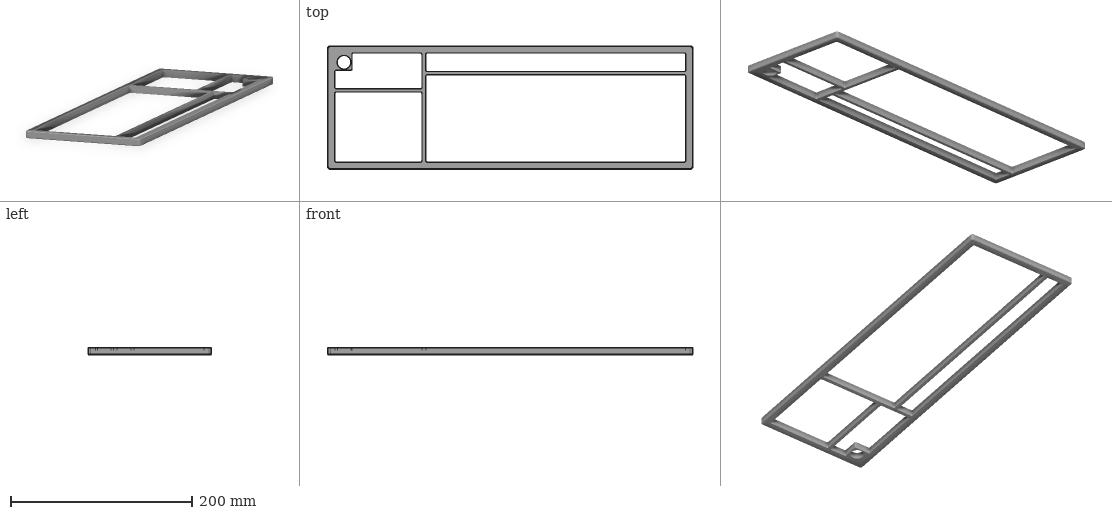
import cadquery as cq

length = 402.8
width = 136.0
thickness = 8.0
border = 8.0
corner_radius = 3.02
edge_chamfer = 0.72

divider_width = 4.5
divider_left = 104.0
cross_rib_width = 3.83
right_rib_top = 28.0
left_rib_top = 47.0
window_radius = 1.4

pad_size = 27.0
hole_diameter = 15.0
hole_inset = 18.0

left = -length / 2
right = length / 2
front = -width / 2
back = width / 2


def window(x_min, x_max, y_min, y_max):
    """Square-cornered cutter through the full thickness."""
    size_x = x_max - x_min
    size_y = y_max - y_min
    cutter = cq.Workplane("XY").box(size_x, size_y, thickness)
    return cutter.translate(((x_min + x_max) / 2, (y_min + y_max) / 2, 0))


def make_frame():
    """Plate with rounded corners and chamfered outer edges."""
    plate = cq.Workplane("XY").box(length, width, thickness)
    plate = plate.edges("|Z").fillet(corner_radius)
    return plate.faces("|Z").edges().chamfer(edge_chamfer)


def make_windows():
    """Four windows; the back left one steps around the corner pad."""
    inner_left = left + border
    inner_right = right - border
    inner_front = front + border
    inner_back = back - border
    divider_start = left + divider_left
    divider_end = divider_start + divider_width
    left_rib = back - left_rib_top
    right_rib = back - right_rib_top

    pad = window(left, left + pad_size, back - pad_size, back)
    cutters = [
        window(inner_left, divider_start, inner_front, left_rib - cross_rib_width),
        window(inner_left, divider_start, left_rib, inner_back).cut(pad),
        window(divider_end, inner_right, inner_front, right_rib - cross_rib_width),
        window(divider_end, inner_right, right_rib, inner_back),
    ]
    return [cutter.edges("|Z").fillet(window_radius) for cutter in cutters]


def make_hole():
    """Round hole through the corner pad."""
    cylinder = cq.Workplane("XY").circle(hole_diameter / 2).extrude(thickness, both=True)
    return cylinder.translate((left + hole_inset, back - hole_inset, 0))


result = make_frame()
for cutter in make_windows():
    result = result.cut(cutter)
result = result.cut(make_hole())